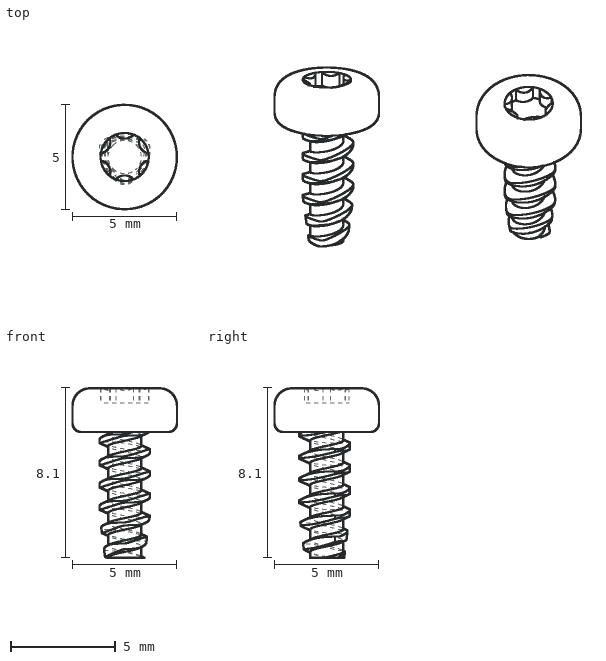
import cadquery as cq
import math

total_length = 8.1
head_diameter = 5.0
head_height = 2.1
head_top_round = 0.835
head_bottom_round = 0.42
head_bottom = total_length - head_height

recess_radius = 1.15
recess_depth = 0.7
lobe_count = 6
lobe_tip_radius = 0.875
lobe_radius = 0.54
lobe_top_drop = 0.105

shank_radius = 0.79
shank_overrun = 1.62
pitch = 1.06
thread_root_width = 0.55
thread_crest_width = 0.08
crest_radius = 1.34
thread_embed = 0.065
start_height = -0.235
turns = 7

corner_reach = 1.32
envelope_width = 2.43
corner_radius = 0.52
corner_count = 3
first_corner_angle = 30
taper_height = 2.11
taper_slope = 0.13


def polar(radius, degrees):
    angle = math.radians(degrees)
    return (radius * math.cos(angle), radius * math.sin(angle))


def make_head():
    head = cq.Workplane("XY").workplane(offset=head_bottom).circle(head_diameter / 2).extrude(head_height)
    return head.faces(">Z").edges().fillet(head_top_round).faces("<Z").edges().fillet(head_bottom_round)


def make_recess():
    floor = total_length - recess_depth
    recess = cq.Workplane("XY").workplane(offset=floor).circle(recess_radius).extrude(recess_depth)
    lobe_centers = [
        polar(lobe_tip_radius + lobe_radius, 90 + i * 360 / lobe_count) for i in range(lobe_count)
    ]
    lobes = cq.Workplane("XY").workplane(offset=floor).pushPoints(lobe_centers)
    recess = recess.cut(lobes.circle(lobe_radius).extrude(recess_depth))
    cone_depth = lobe_top_drop * recess_radius / (recess_radius - lobe_tip_radius)
    cone = (
        cq.Workplane("XZ")
        .moveTo(0, total_length)
        .lineTo(recess_radius, total_length)
        .lineTo(0, total_length - cone_depth)
        .close()
        .revolve(360, (0, 0, 0), (0, 1, 0))
    )
    return recess.union(cone)


def envelope_outline(height, inset):
    """Outline of the three-lobed envelope, moved inwards by the inset."""
    round_radius = corner_radius - inset
    side_radius = envelope_width - corner_radius - inset
    center_distance = corner_reach - corner_radius
    half_step = 180 / corner_count
    half_arc = half_step / 2

    def arc_point(center_angle, radius, direction):
        x, y = polar(center_distance, center_angle)
        dx, dy = polar(radius, direction)
        return (x + dx, y + dy)

    outline = cq.Workplane("XY").workplane(offset=height)
    outline = outline.moveTo(*arc_point(first_corner_angle, round_radius, first_corner_angle - half_arc))
    for i in range(corner_count):
        corner = first_corner_angle + i * 2 * half_step
        side = corner + half_step
        outline = outline.threePointArc(
            arc_point(corner, round_radius, corner),
            arc_point(corner, round_radius, corner + half_arc),
        ).threePointArc(
            arc_point(side + 180, side_radius, side),
            arc_point(side + 180, side_radius, side + half_arc),
        )
    return outline.close()


def make_envelope():
    straight = envelope_outline(taper_height, 0).extrude(head_bottom + head_bottom_round - taper_height)
    tip = envelope_outline(0, taper_height * taper_slope).wires().val()
    full = envelope_outline(taper_height, 0).wires().val()
    return straight.union(cq.Workplane(cq.Solid.makeLoft([tip, full], True)))


def make_thread():
    inner_radius = shank_radius - thread_embed
    flank_slope = (thread_root_width - thread_crest_width) / 2 / (crest_radius - shank_radius)
    inner_half = thread_root_width / 2 + flank_slope * thread_embed
    crest_half = thread_crest_width / 2
    path = cq.Wire.makeHelix(pitch, turns * pitch, inner_radius).translate(cq.Vector(0, 0, start_height))
    return (
        cq.Workplane("XZ")
        .polyline([
            (inner_radius, start_height - inner_half),
            (crest_radius, start_height - crest_half),
            (crest_radius, start_height + crest_half),
            (inner_radius, start_height + inner_half),
        ])
        .close()
        .sweep(cq.Workplane(path), isFrenet=True)
    )


shank_bar = (
    cq.Workplane("XY")
    .workplane(offset=-shank_overrun)
    .circle(shank_radius)
    .extrude(total_length + 2 * shank_overrun)
)
threaded_shank = shank_bar.union(make_thread()).intersect(make_envelope())
result = threaded_shank.union(make_head()).cut(make_recess())